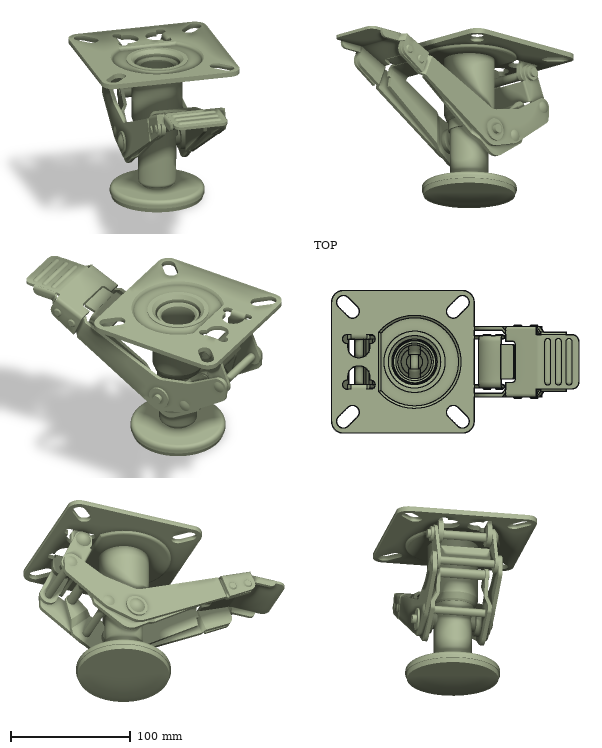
import cadquery as cq
import math


LENGTH = 208.0

TOP = 125.0
PLATE_SIZE = 120.0
PLATE_THICK = 4.2
PLATE_X = -9.8
PLATE_CORNER = 10.0
BOLT_OFFSET = 46.2
BOLT_SLOT_LENGTH = 22.0
BOLT_SLOT_WIDTH = 11.2
RECESS_R = 39.1
RECESS_FLAT_X = -30.2
RECESS_DEPTH = 2.5
RECESS_TAPER = 40
EMBOSS_MARGIN = 0.8
EMBOSS_FILLET = 2.3
RIM_R = 25.8
RIM_HEIGHT = 1.0
TUBE_R = 21.5
TUBE_BORE_R = 19.1
TUBE_BOTTOM = 64.0
TUBE_END_R = 19.3
TUBE_TAPER_TOP = 70.7
TUBE_LIP_TOP = 65.5
TUBE_LIP_BORE_R = 17.9
TUBE_LIP_EDGE = 0.5
MOUTH_CHAMFER = 3.0

TAB_X = -46.8
TAB_HALF_WIDTH = 9.4
TAB_NECK_HALF_WIDTH = 6.7
TAB_SHOULDER_Z = 117.5
TAB_BOTTOM = 103.8
TAB_CORNER = 7.5
TAB_INNER_Y = 19.0
TAB_OUTER_Y = 22.9
TAB_BEND_R = 3.7
WINDOW_ROUND_Y = 12.7
RELIEF_LENGTH = 27.5
RELIEF_WIDTH = 7.5

PAD_R = 40.0
PAD_TOP = 10.2
PAD_FILLET = 3.5
RUBBER_TOP = 4.0
RUBBER_TOP_R = 39.3
RUBBER_BOTTOM_R = 38.5
NECK_R = 12.5
PLUNGER_R = 16.0
PLUNGER_BOTTOM = 12.0
PLUNGER_TOP = 118.5
PLUNGER_BORE_R = 14.1
PLUNGER_FLOOR = 16.6
PLUNGER_FILLET = 3.1
RIM_CHAMFER = 1.7
SLEEVE_R = 17.7
SLEEVE_BOTTOM = 56.2
BOSS_R = 7.0
BOSS_Y = 18.3
HUB_R = 11.2
HUB_HEIGHT = 1.7
HUB_PIN_R = 6.9
HUB_PIN_HEIGHT = 3.3

PIVOT = (0.0, 51.5)
TOP_PIN = (-46.5, 111.0)
KNEE_PIN = (-58.5, 83.0)
STOP_PIN = (-24.8, 51.4)
RELEASE_PIN = (-39.3, 79.9)
PIN_R = 3.3
TIP_R = 3.7
CAP_R = 5.0
CAP_HEIGHT = 1.2
RIVET_HEAD_R = 6.9

PIVOT_R = 5.0
PIVOT_WAIST_R = 3.3
PIVOT_WAIST_HALF = 6.0
SPACER_R = 11.0
PIVOT_WASHER_R = 9.4
PIVOT_WASHER_THICK = 1.7
PIVOT_TIP_Y = 35.0
PIVOT_HEAD_Y = 34.3

LINK_INNER_Y = 23.3
LINK_OUTER_Y = 26.0
LINK_R = 7.7
LINK_WEB_OFFSET = 10.8
LINK_WEB_THICK = 2.5
LINK_WEB_BOTTOM = 86.0
LINK_WEB_TOP = 102.5
LINK_BEND_R = 1.7
TOP_WASHER_R = 6.2
TOP_WASHER_Y = 28.7
TOP_TIP_Y = 31.2
TOP_HEAD_Y = 30.0

ARM_INNER_Y = 26.5
ARM_OUTER_Y = 29.7
PEDAL_ANGLE = 23.5
JOGGLE_U = 107.5
JOGGLE_RUN = 3.1
COVER_START_U = 111.5
COVER_END_U = 142.3
COVER_TOP_W = 65.1
COVER_DEPTH = 29.1
COVER_END_X = 102.0
SHEET = 2.5
BEND_R = 3.0
CUTOUT_X = 84.5
CUTOUT_HALF = 17.3
CUTOUT_CORNER = 2.5
TREAD_TOP = 116.0
TREAD_BEND_R = 5.2
TREAD_START_X = 99.9
TREAD_END_X = PLATE_X - PLATE_SIZE / 2 + LENGTH
TREAD_HALF = 22.9
TREAD_CORNER = 6.0
SKIRT_START_X = 106.3
SKIRT_END_X = 127.5
SKIRT_HALF = 25.0
SKIRT_BOTTOM = 108.2
SKIRT_CORNER = 4.5
TAPER_START_U = 139.8
TAPER_END_U = 143.0
RIB_XS = (112.0, 120.9, 129.8)
RIB_HALF_LENGTH = 17.0
RIB_R = 3.1
RIB_HEIGHT = 1.2
WELD_R = 3.7
WELD_TOP_R = 2.7
WELD_HEIGHT = 1.0
COVER_WELDS = ((86.7, 95.5), (100.5, 101.5))

RELEASE_UPPER_Y = (19.1, 22.0)
RELEASE_LOWER_Y = (22.7, 26.0)
RELEASE_LIMB_ANGLE = -45
RELEASE_LIMB_BENDS = (-70.7, -65.0)
RELEASE_ARM_BENDS = (12.5, 19.3)
RELEASE_ANGLE = 15.9
RELEASE_PIN_R = 4.2
RELEASE_PIN_END_Y = 22.9
RELEASE_START_U = 78.6
RELEASE_END_U = 98.2
RELEASE_TOP_W = 80.0
RELEASE_DEPTH = 11.5
RELEASE_BEND_R = 5.0
RELEASE_WELD_DROP = 7.5
RELEASE_WELDS_U = (84.0, 94.9)
TONGUE_STEP = 0.5
TONGUE_END_U = 109.2
TONGUE_HALF = 14.5
TONGUE_CORNER = 1.2

REACH = 208.0


def rounded_outline(corners, plane="XZ"):
    """Closed outline through (a, b, radius) corners, each rounded by a tangent arc."""
    path = []
    count = len(corners)
    for i, (a, b, radius) in enumerate(corners):
        here = cq.Vector(a, b)
        to_last = (cq.Vector(*corners[i - 1][:2]) - here).normalized()
        to_next = (cq.Vector(*corners[(i + 1) % count][:2]) - here).normalized()
        if radius == 0:
            path.append((here, None, here))
            continue
        half = to_last.getAngle(to_next) / 2
        setback = radius / math.tan(half)
        middle = (to_last + to_next).normalized() * (radius / math.sin(half) - radius)
        path.append((here + to_last * setback, here + middle, here + to_next * setback))
    first = path[0][2].toTuple()[:2]
    sketch = cq.Workplane(plane).moveTo(*first)
    for start, middle, end in path[1:] + path[:1]:
        sketch = sketch.lineTo(*start.toTuple()[:2])
        if middle is not None:
            sketch = sketch.threePointArc(middle.toTuple()[:2], end.toTuple()[:2])
    return sketch.close()


def disc(radius, z_start, z_end):
    """Cylinder on the tube axis."""
    return cq.Workplane("XY", origin=(0, 0, z_start)).circle(radius).extrude(z_end - z_start)


def cone(bottom_r, top_r, z_start, z_end):
    """Cone on the tube axis."""
    return cq.Workplane(obj=cq.Solid.makeCone(bottom_r, top_r, z_end - z_start, cq.Vector(0, 0, z_start)))


def across(place, radius, y_start, y_end):
    """Cylinder parallel to Y at an (X, Z) place."""
    length = y_end - y_start
    return cq.Workplane("XZ", origin=(0, y_start, 0)).center(*place).circle(radius).extrude(-length)


def frustum_out(place, base_r, end_r, y_start, y_end):
    """Cone along Y at an (X, Z) place, from base_r at y_start to end_r at y_end."""
    base = cq.Vector(place[0], y_start, place[1])
    height = abs(y_end - y_start)
    outward = cq.Vector(0, math.copysign(1, y_end - y_start), 0)
    return cq.Workplane(obj=cq.Solid.makeCone(base_r, end_r, height, base, outward))


def dome(place, radius, y_start, y_end):
    """Spherical rivet cap on a flat of the given radius, bulging from y_start to y_end."""
    ball_r = (radius**2 + (y_end - y_start) ** 2) / (2 * abs(y_end - y_start))
    centre_y = y_end - math.copysign(ball_r, y_end - y_start)
    half_x = radius / 2
    half_y = centre_y + math.copysign(math.sqrt(ball_r**2 - half_x**2), y_end - y_start)
    profile = cq.Workplane("XY", origin=(place[0], 0, place[1])).moveTo(0, y_start).lineTo(radius, y_start)
    profile = profile.threePointArc((half_x, half_y), (0, y_end)).close()
    return profile.revolve(360, (0, 0, 0), (0, 1, 0))


def both_sides(shape):
    return shape.union(shape.mirror("XZ"))


def slab(outline):
    """Outline in the XZ plane extended far to both sides."""
    return outline.extrude(REACH / 2, both=True)


def tilt(shape, angle):
    """Turn a shape built along X so that X rises by the angle, about the origin."""
    return shape.rotate((0, 0, 0), (0, 1, 0), -angle)


def channel(start, end, half_width, top, depth, bend_r):
    """Sheet-metal channel along X, open below, with rounded bends."""
    length = end - start
    inner_half = half_width - SHEET
    outer = cq.Workplane("XY").box(length, 2 * half_width, depth, centered=(False, True, False))
    outer = outer.edges("|X and >Z").fillet(bend_r)
    inner = cq.Workplane("XY").box(length, 2 * inner_half, depth - SHEET, centered=(False, True, False))
    inner = inner.edges("|X and >Z").fillet(bend_r - SHEET)
    return outer.cut(inner).translate((start, 0, top - depth))


def joggled_sheet(bends, before, after):
    """Upright sheet along X that steps from one (inner Y, outer Y) pair to another between two bends."""
    first_bend, last_bend = bends
    section = [
        (-REACH, before[0]),
        (first_bend, before[0]),
        (last_bend, after[0]),
        (REACH, after[0]),
        (REACH, after[1]),
        (last_bend, after[1]),
        (first_bend, before[1]),
        (-REACH, before[1]),
    ]
    return cq.Workplane("XY").polyline(section).close().extrude(REACH, both=True)


def d_shape(radius, flat_x, z, height, taper=0):
    """D-shaped disc going down from z, cut straight at flat_x."""
    half_chord = math.sqrt(radius**2 - flat_x**2)
    outline = (
        cq.Workplane("XY", origin=(0, 0, z))
        .moveTo(flat_x, half_chord)
        .threePointArc((radius, 0), (flat_x, -half_chord))
        .close()
    )
    return outline.extrude(-height, taper=taper)


def make_tab():
    left, right = TAB_X - TAB_HALF_WIDTH, TAB_X + TAB_HALF_WIDTH
    neck_left, neck_right = TAB_X - TAB_NECK_HALF_WIDTH, TAB_X + TAB_NECK_HALF_WIDTH
    neck_z = TOP - PLATE_THICK
    outline = rounded_outline([
        (neck_left, TOP, 0),
        (neck_right, TOP, 0),
        (neck_right, neck_z, 0),
        (right, TAB_SHOULDER_Z, 0),
        (right, TAB_BOTTOM, TAB_CORNER),
        (left, TAB_BOTTOM, TAB_CORNER),
        (left, TAB_SHOULDER_Z, 0),
        (neck_left, neck_z, 0),
    ])
    tab = outline.extrude(TAB_INNER_Y - TAB_OUTER_Y).translate((0, TAB_INNER_Y, 0))
    return tab.faces(">Z").edges("<Y").fillet(TAB_BEND_R)


def make_window():
    depth = PLATE_THICK
    floor = cq.Workplane("XY", origin=(0, 0, TOP - depth))
    round_end = floor.center(TAB_X, WINDOW_ROUND_Y).circle(TAB_HALF_WIDTH).extrude(depth)
    straight_length = TAB_OUTER_Y - WINDOW_ROUND_Y
    straight = (
        cq.Workplane("XY", origin=(TAB_X, WINDOW_ROUND_Y + straight_length / 2, TOP - depth))
        .rect(2 * TAB_HALF_WIDTH, straight_length)
        .extrude(depth)
    )
    relief_y = TAB_OUTER_Y - RELIEF_WIDTH / 2
    relief = (
        cq.Workplane("XY", origin=(TAB_X, relief_y, TOP - depth))
        .slot2D(RELIEF_LENGTH, RELIEF_WIDTH)
        .extrude(depth)
    )
    return round_end.union(straight).union(relief)


def make_base():
    plate_bottom = TOP - PLATE_THICK
    plate = (
        cq.Workplane("XY", origin=(PLATE_X, 0, plate_bottom))
        .rect(PLATE_SIZE, PLATE_SIZE)
        .extrude(PLATE_THICK)
        .edges("|Z")
        .fillet(PLATE_CORNER)
    )
    for sx in (-1, 1):
        for sy in (-1, 1):
            slot = (
                cq.Workplane("XY", origin=(PLATE_X + sx * BOLT_OFFSET, sy * BOLT_OFFSET, plate_bottom))
                .slot2D(BOLT_SLOT_LENGTH, BOLT_SLOT_WIDTH, 45 * sx * sy)
                .extrude(PLATE_THICK)
            )
            plate = plate.cut(slot)
    plate = plate.cut(both_sides(make_window()))

    emboss = d_shape(RECESS_R + EMBOSS_MARGIN, RECESS_FLAT_X - EMBOSS_MARGIN, plate_bottom, RECESS_DEPTH)
    emboss = emboss.faces("<Z").edges().fillet(EMBOSS_FILLET)
    taper = cone(TUBE_END_R, TUBE_R, TUBE_LIP_TOP, TUBE_TAPER_TOP)
    lip = cone(TUBE_LIP_BORE_R + TUBE_LIP_EDGE, TUBE_END_R, TUBE_BOTTOM, TUBE_LIP_TOP)
    tube = disc(TUBE_R, TUBE_TAPER_TOP, plate_bottom).union(taper).union(lip)
    base = plate.union(emboss).union(tube)

    seat_z = TOP - RECESS_DEPTH
    rim_z = seat_z + RIM_HEIGHT
    base = base.cut(d_shape(RECESS_R, RECESS_FLAT_X, TOP, RECESS_DEPTH, RECESS_TAPER))
    base = base.union(disc(RIM_R, seat_z, rim_z))
    base = base.cut(disc(TUBE_LIP_BORE_R, TUBE_BOTTOM, TUBE_TAPER_TOP))
    base = base.cut(disc(TUBE_BORE_R, TUBE_TAPER_TOP, rim_z))
    base = base.cut(cone(TUBE_BORE_R, TUBE_BORE_R + MOUTH_CHAMFER, rim_z - MOUTH_CHAMFER, rim_z))
    return base.union(both_sides(make_tab()))


def make_foot():
    rubber = cone(RUBBER_BOTTOM_R, RUBBER_TOP_R, 0, RUBBER_TOP)
    pad = disc(PAD_R, RUBBER_TOP, PAD_TOP).faces(">Z").edges().fillet(PAD_FILLET)
    plunger = disc(PLUNGER_R, PLUNGER_BOTTOM, PLUNGER_TOP).faces("<Z").edges().fillet(PLUNGER_FILLET)
    foot = rubber.union(pad).union(disc(NECK_R, PAD_TOP, PLUNGER_BOTTOM)).union(plunger)
    foot = foot.union(disc(SLEEVE_R, SLEEVE_BOTTOM, PLUNGER_TOP))
    foot = foot.union(across(PIVOT, BOSS_R, -BOSS_Y, BOSS_Y))
    foot = foot.cut(disc(PLUNGER_BORE_R, PLUNGER_FLOOR, PLUNGER_TOP))
    foot = foot.cut(cone(PLUNGER_BORE_R, PLUNGER_BORE_R + RIM_CHAMFER, PLUNGER_TOP - RIM_CHAMFER, PLUNGER_TOP))
    foot = foot.union(disc(HUB_R, PLUNGER_FLOOR, PLUNGER_FLOOR + HUB_HEIGHT))
    return foot.union(disc(HUB_PIN_R, PLUNGER_FLOOR, PLUNGER_FLOOR + HUB_PIN_HEIGHT))


def make_pivot_pin():
    washer_y = ARM_OUTER_Y + PIVOT_WASHER_THICK
    half_shaft = across(PIVOT, PIVOT_R, PIVOT_WAIST_HALF, ARM_OUTER_Y)
    half_shaft = half_shaft.union(across(PIVOT, SPACER_R, BOSS_Y, RELEASE_LOWER_Y[0]))
    half_shaft = half_shaft.union(across(PIVOT, PIVOT_WASHER_R, ARM_OUTER_Y, washer_y))
    pin = both_sides(half_shaft).union(across(PIVOT, PIVOT_WAIST_R, -PIVOT_WAIST_HALF, PIVOT_WAIST_HALF))
    pin = pin.union(across(PIVOT, TIP_R, washer_y, PIVOT_TIP_Y))
    return pin.union(dome(PIVOT, RIVET_HEAD_R, -washer_y, -PIVOT_HEAD_Y))


def make_link():
    run_x = TOP_PIN[0] - KNEE_PIN[0]
    run_z = TOP_PIN[1] - KNEE_PIN[1]
    length = math.hypot(run_x, run_z)
    along = (run_x / length, run_z / length)
    normal = (along[1], -along[0])
    slope = math.degrees(math.atan2(run_z, run_x))
    middle_x = (TOP_PIN[0] + KNEE_PIN[0]) / 2
    middle_z = (TOP_PIN[1] + KNEE_PIN[1]) / 2
    cheek = (
        cq.Workplane("XZ", origin=(0, LINK_OUTER_Y, 0))
        .center(middle_x, middle_z)
        .slot2D(length + 2 * LINK_R, 2 * LINK_R, slope)
        .extrude(LINK_OUTER_Y - LINK_INNER_Y)
    )

    def web_point(z, offset):
        t = (z - KNEE_PIN[1]) / along[1]
        return (
            KNEE_PIN[0] + along[0] * t + normal[0] * offset,
            KNEE_PIN[1] + along[1] * t + normal[1] * offset,
        )

    drop = -normal[1] * LINK_WEB_OFFSET
    low, high = LINK_WEB_BOTTOM + drop, LINK_WEB_TOP + drop
    inner_offset = LINK_WEB_OFFSET - LINK_WEB_THICK
    corners = [
        web_point(low, inner_offset),
        web_point(high, inner_offset),
        web_point(high, LINK_WEB_OFFSET),
        web_point(low, LINK_WEB_OFFSET),
    ]
    web = cq.Workplane("XZ").polyline(corners).close().extrude(LINK_OUTER_Y, both=True)
    flange_corners = [web_point(low, 0), web_point(high, 0), corners[2], corners[3]]
    flange = (
        cq.Workplane("XZ", origin=(0, LINK_OUTER_Y, 0))
        .polyline(flange_corners)
        .close()
        .extrude(LINK_OUTER_Y - LINK_INNER_Y)
    )
    link = both_sides(cheek.union(flange)).union(web)
    bend_x, bend_z = web_point((low + high) / 2, LINK_WEB_OFFSET)
    for y in (-LINK_OUTER_Y, LINK_OUTER_Y):
        link = link.edges(cq.NearestToPointSelector((bend_x, y, bend_z))).fillet(LINK_BEND_R)

    link = link.union(across(TOP_PIN, TIP_R, -LINK_OUTER_Y, TOP_TIP_Y))
    link = link.union(across(TOP_PIN, TOP_WASHER_R, LINK_OUTER_Y, TOP_WASHER_Y))
    return link.union(dome(TOP_PIN, RIVET_HEAD_R, -LINK_OUTER_Y, -TOP_HEAD_Y))


ARM_END = [(109.2, 99.5, 7.0), (105.7, 107.3, 0)]
ARM_OUTLINE = [
    (-65.5, 96.1, 7.0),
    (-64.5, 71.5, 5.2),
    (-26.5, 45.1, 12.5),
    (2.5, 36.8, 13.7),
    *ARM_END,
    (102.8, 113.5, 0),
    (0.8, 69.0, 10.5),
    (-29.5, 75.5, 18.7),
]
COVER_OUTLINE = [(76.3, 104.8, 0), (84.7, 84.5, 0), *ARM_END, (COVER_END_X, 114.5, 0), (COVER_END_X, 118.5, 0)]


def make_arms():
    inset = ARM_OUTER_Y - ARM_INNER_Y
    outer_layer = (ARM_INNER_Y, ARM_OUTER_Y)
    inner_layer = (ARM_INNER_Y - inset, ARM_INNER_Y)
    sheet = joggled_sheet((JOGGLE_U, JOGGLE_U + JOGGLE_RUN), outer_layer, inner_layer)
    arm = tilt(sheet, PEDAL_ANGLE).intersect(slab(rounded_outline(ARM_OUTLINE)))
    return both_sides(arm)


def make_cross_pin(place):
    pin = across(place, PIN_R, -ARM_OUTER_Y, ARM_OUTER_Y)
    return pin.union(both_sides(dome(place, CAP_R, ARM_OUTER_Y, ARM_OUTER_Y + CAP_HEIGHT)))


def make_cover():
    cover = channel(COVER_START_U, COVER_END_U, ARM_OUTER_Y, COVER_TOP_W, COVER_DEPTH, BEND_R)
    cover = tilt(cover, PEDAL_ANGLE).intersect(slab(rounded_outline(COVER_OUTLINE)))
    cutout = (
        cq.Workplane("XY")
        .box(REACH, 2 * CUTOUT_HALF, REACH)
        .translate((CUTOUT_X - REACH / 2, 0, REACH / 2))
        .edges("|Z and >X")
        .fillet(CUTOUT_CORNER)
    )
    cover = cover.cut(cutout)
    for place in COVER_WELDS:
        weld = frustum_out(place, WELD_R, WELD_TOP_R, ARM_OUTER_Y, ARM_OUTER_Y + WELD_HEIGHT)
        cover = cover.union(both_sides(weld))
    return cover


def make_rib(x):
    """Raised round-ended rib on the tread."""
    centre_z = TREAD_TOP + RIB_HEIGHT - RIB_R
    rib = across((x, centre_z), RIB_R, -RIB_HALF_LENGTH, RIB_HALF_LENGTH)
    for y in (-RIB_HALF_LENGTH, RIB_HALF_LENGTH):
        rib = rib.union(cq.Workplane("XY").sphere(RIB_R).translate((x, y, centre_z)))
    below = cq.Workplane("XY").box(REACH, REACH, REACH).translate((x, 0, TREAD_TOP - SHEET / 2 - REACH / 2))
    return rib.cut(below)


def make_tread():
    slope = math.tan(math.radians(PEDAL_ANGLE))
    cover_rise = COVER_TOP_W / math.cos(math.radians(PEDAL_ANGLE))
    start_z = TREAD_START_X * slope + cover_rise
    bend_x = (TREAD_TOP - cover_rise) / slope
    lower_bend_x = bend_x + SHEET * math.tan(math.radians(PEDAL_ANGLE / 2))
    lower_start_z = TREAD_TOP - SHEET - (lower_bend_x - TREAD_START_X) * slope
    profile = rounded_outline([
        (TREAD_START_X, start_z, 0),
        (bend_x, TREAD_TOP, TREAD_BEND_R),
        (TREAD_END_X, TREAD_TOP, 0),
        (TREAD_END_X, TREAD_TOP - SHEET, 0),
        (lower_bend_x, TREAD_TOP - SHEET, TREAD_BEND_R - SHEET),
        (TREAD_START_X, lower_start_z, 0),
    ])
    tread = profile.extrude(TREAD_HALF, both=True).edges("|Z and >X").fillet(TREAD_CORNER)
    skirt = channel(SKIRT_START_X, SKIRT_END_X, SKIRT_HALF, TREAD_TOP, TREAD_TOP - SKIRT_BOTTOM, BEND_R)
    skirt = skirt.faces("<Z").edges("|Y and >X").fillet(SKIRT_CORNER)
    taper_sheet = cq.Workplane("XY").polyline([
        (TAPER_START_U, ARM_OUTER_Y),
        (TAPER_END_U, SKIRT_HALF),
        (TAPER_END_U, SKIRT_HALF - SHEET),
        (TAPER_START_U, ARM_OUTER_Y - SHEET),
    ])
    taper_sheet = tilt(taper_sheet.close().extrude(REACH, both=True), PEDAL_ANGLE)
    height = TREAD_TOP - SHEET / 2 - SKIRT_BOTTOM
    band = cq.Workplane("XY", origin=(0, 0, SKIRT_BOTTOM)).box(2 * REACH, REACH, height, centered=(True, True, False))
    taper = taper_sheet.intersect(band)
    tread = tread.union(skirt).union(both_sides(taper))
    for x in RIB_XS:
        tread = tread.union(make_rib(x))
    return tread


def make_lever(pivot_pin):
    pedal = make_cover().union(make_tread())
    lever = pedal.union(make_arms())
    lever = lever.union(make_cross_pin(KNEE_PIN)).union(make_cross_pin(STOP_PIN))
    return lever.cut(pivot_pin)


RELEASE_OUTLINE = [
    (-47.0, 88.5, 5.6),
    (-36.5, 48.3, 3.1),
    (-5.2, 28.5, 12.0),
    (23.0, 48.5, 0),
    (74.9, 84.3, 0),
    (71.8, 98.8, 0),
    (53.7, 92.0, 0),
    (-8.3, 58.7, 4.2),
    (-36.0, 84.9, 5.6),
]


def make_release_lever(pivot_pin, lever):
    limb = tilt(joggled_sheet(RELEASE_LIMB_BENDS, RELEASE_UPPER_Y, RELEASE_LOWER_Y), RELEASE_LIMB_ANGLE)
    arm = joggled_sheet(RELEASE_ARM_BENDS, RELEASE_LOWER_Y, RELEASE_UPPER_Y)
    right_half = cq.Workplane("XY").box(REACH, REACH, 2 * REACH, centered=(False, True, True))
    sheet = limb.cut(right_half).union(arm.intersect(right_half))
    release = both_sides(sheet.intersect(slab(rounded_outline(RELEASE_OUTLINE))))

    upper_out = RELEASE_UPPER_Y[1]
    thumb = channel(RELEASE_START_U, RELEASE_END_U, upper_out, RELEASE_TOP_W, RELEASE_DEPTH, RELEASE_BEND_R)
    tongue = (
        cq.Workplane("XY", origin=(RELEASE_END_U, 0, RELEASE_TOP_W + TONGUE_STEP - SHEET))
        .box(TONGUE_END_U - RELEASE_END_U, 2 * TONGUE_HALF, SHEET, centered=(False, True, False))
        .edges("|Z and >X")
        .fillet(TONGUE_CORNER)
    )
    thumb = thumb.union(tongue)
    for u in RELEASE_WELDS_U:
        place = (u, RELEASE_TOP_W - RELEASE_WELD_DROP)
        weld = frustum_out(place, WELD_R, WELD_TOP_R, upper_out, upper_out + WELD_HEIGHT)
        thumb = thumb.union(both_sides(weld))
    release = release.union(tilt(thumb, RELEASE_ANGLE))
    release = release.union(across(RELEASE_PIN, RELEASE_PIN_R, -RELEASE_PIN_END_Y, RELEASE_PIN_END_Y))
    return release.cut(pivot_pin).cut(lever)


pivot_pin = make_pivot_pin()
link_blank = make_link()
base = make_base().cut(link_blank)
foot = make_foot().cut(pivot_pin)
lever = make_lever(pivot_pin)
link = link_blank.cut(lever)
release_lever = make_release_lever(pivot_pin, lever)

result = cq.Compound.makeCompound([
    base.val(),
    foot.val(),
    pivot_pin.val(),
    link.val(),
    lever.val(),
    release_lever.val(),
])